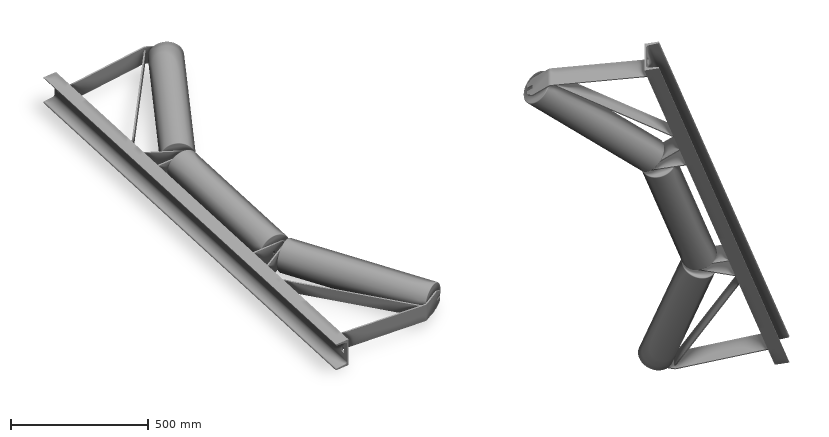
import cadquery as cq
import math

CHANNEL_LENGTH = 1900.0
CHANNEL_HEIGHT = 120.0
CHANNEL_DEPTH = 55.0
WEB_THICKNESS = 7.0
FLANGE_THICKNESS = 9.0
FLANGE_SLOPE = 0.08
ROOT_RADIUS = 9.0
TOE_RADIUS = 4.5
MOUNT_HOLE_WIDTH = 18.0
MOUNT_HOLE_HEIGHT = 26.0
MOUNT_HOLE_FROM_END = 27.0

ROLLER_RADIUS = 133.0 / 2
ROLLER_LENGTH = 600.0
ROLLER_EDGE_RADIUS = 3.0
TROUGH_ANGLE = 30.0
OVERALL_DEPTH = 539.8
CENTRE_AXIS_Y = 171.0
SIDE_AXIS_END_X = -867.0
SHAFT_FLAT = 16.0
SHAFT_DEPTH = 14.0

SHEET = 6.0
END_GAP = 7.0
STRIP_WIDTH = 75.0
BRACE_WIDTH = 50.0
HEAD_TOP = 35.0
HEAD_TOP_WIDTH = 46.0
SHOULDER = 7.0
BEND_BELOW_AXIS = 79.0
OUTER_BEND_RADIUS = 18.0
INNER_BEND_RADIUS = 12.5
OUTER_FOOT_X = -883.0
BRACE_FOOT_X = -460.0
SHAFT_OVERHANG = END_GAP + SHEET

COS_T = math.cos(math.radians(TROUGH_ANGLE))
SIN_T = math.sin(math.radians(TROUGH_ANGLE))
SIDE_AXIS_END_Y = (OVERALL_DEPTH - ROLLER_EDGE_RADIUS * (1 - SIN_T)
                   - (ROLLER_RADIUS - ROLLER_EDGE_RADIUS) * COS_T)


def to_side(body):
    turned = body.rotate((0, 0, 0), (0, 0, 1), -TROUGH_ANGLE)
    return turned.translate((SIDE_AXIS_END_X, SIDE_AXIS_END_Y, 0))


def to_centre(body):
    return body.translate((-ROLLER_LENGTH / 2, CENTRE_AXIS_Y, 0))


def side_point(along, above):
    """World XY of a point given in the side roller's frame."""
    x = SIDE_AXIS_END_X + along * COS_T + above * SIN_T
    y = SIDE_AXIS_END_Y - along * SIN_T + above * COS_T
    return cq.Vector(x, y)


def left_normal(start, end):
    """Unit vector square to the line from start to end, on its left-hand side."""
    direction = (end - start).normalized()
    return cq.Vector(-direction.y, direction.x)


def prism(points, width):
    """Outline in XY, extruded equally to both sides of Z = 0."""
    outline = [(point.x, point.y) for point in points]
    return cq.Workplane("XY").polyline(outline).close().extrude(width / 2, both=True)


def bent_strip(start, corner, end, bend_radius):
    """Strip with one rounded bend; the points lie on its outer face, the metal to the left."""
    first = left_normal(start, corner)
    second = left_normal(corner, end)
    inner_corner = corner + (first + second) * (SHEET / (1 + first.dot(second)))
    strip = prism(
        [start, corner, end, end + second * SHEET, inner_corner, start + first * SHEET],
        STRIP_WIDTH)
    strip = strip.edges(cq.NearestToPointSelector(corner.toTuple())).fillet(bend_radius)
    inner_edge = strip.edges("|Z").edges(cq.NearestToPointSelector(inner_corner.toTuple()))
    return inner_edge.fillet(bend_radius - SHEET)


def extended_foot(upper, foot):
    """Point past the foot on the same line, inside the channel, so the strip can be trimmed."""
    return foot + (foot - upper).normalized() * CHANNEL_DEPTH / 2


def trim_to_channel(strip):
    """Cut off whatever lies in front of the back face of the channel."""
    waste = cq.Workplane("XY").box(
        CHANNEL_LENGTH, CHANNEL_DEPTH, CHANNEL_HEIGHT, centered=(True, False, True))
    return strip.cut(waste)


def shaft_slot(end_x):
    """Slot, open at the top, for the shaft end at end_x in a roller frame."""
    return (cq.Workplane("XY")
            .box(2 * ROLLER_RADIUS, 2 * ROLLER_RADIUS, SHAFT_FLAT, centered=(True, False, True))
            .translate((end_x, -SHAFT_DEPTH / 2, 0)))


def make_channel():
    half = CHANNEL_HEIGHT / 2
    web_y = CHANNEL_DEPTH - WEB_THICKNESS
    toe = FLANGE_THICKNESS - FLANGE_SLOPE * CHANNEL_DEPTH / 2
    root = toe + FLANGE_SLOPE * web_y
    section = [
        (CHANNEL_DEPTH, half), (CHANNEL_DEPTH, -half),
        (0, -half), (0, toe - half), (web_y, root - half),
        (web_y, half - root), (0, half - toe), (0, half),
    ]
    bar = cq.Workplane("YZ").polyline(section).close().extrude(CHANNEL_LENGTH / 2, both=True)
    for side in (1, -1):
        root_edge = cq.NearestToPointSelector((0, web_y, side * (half - root)))
        bar = bar.edges("|X").edges(root_edge).fillet(ROOT_RADIUS)
        toe_edge = cq.NearestToPointSelector((0, 0, side * (half - toe)))
        bar = bar.edges("|X").edges(toe_edge).fillet(TOE_RADIUS)
    hole_x = CHANNEL_LENGTH / 2 - MOUNT_HOLE_FROM_END
    holes = (cq.Workplane("XZ").pushPoints([(-hole_x, 0), (hole_x, 0)])
             .rect(MOUNT_HOLE_WIDTH, MOUNT_HOLE_HEIGHT).extrude(-CHANNEL_DEPTH))
    return bar.cut(holes)


def make_roller():
    """Roller in its own frame, with a flatted shaft end at both ends."""
    drum = (cq.Workplane("YZ").circle(ROLLER_RADIUS).extrude(ROLLER_LENGTH)
            .edges().fillet(ROLLER_EDGE_RADIUS))
    shaft = (cq.Workplane("YZ").workplane(offset=-SHAFT_OVERHANG)
             .rect(SHAFT_DEPTH, SHAFT_FLAT).extrude(ROLLER_LENGTH + 2 * SHAFT_OVERHANG))
    return drum.union(shaft)


def make_outer_bracket():
    """Outer bracket: slotted head square to the roller axis, leg down to the channel."""
    outer_face = -END_GAP - SHEET
    corner = side_point(outer_face, -BEND_BELOW_AXIS)
    foot = cq.Vector(OUTER_FOOT_X, CHANNEL_DEPTH)
    bracket = bent_strip(side_point(outer_face, HEAD_TOP), corner,
                         extended_foot(corner, foot), OUTER_BEND_RADIUS)
    for side in (1, -1):
        clipped_corner = [
            (SHOULDER, side * STRIP_WIDTH / 2),
            (HEAD_TOP, side * HEAD_TOP_WIDTH / 2),
            (HEAD_TOP, side * STRIP_WIDTH / 2),
        ]
        clip = (cq.Workplane("YZ").polyline(clipped_corner).close()
                .extrude(2 * SHAFT_OVERHANG, both=True))
        bracket = bracket.cut(to_side(clip))
    return trim_to_channel(bracket.cut(to_side(shaft_slot(0))))


def make_brace(bracket):
    """Straight strip from the inside of the outer bracket's bend to the channel."""
    top = side_point(-END_GAP - SHEET / 2, -BEND_BELOW_AXIS + SHEET / 2)
    foot = cq.Vector(BRACE_FOOT_X, CHANNEL_DEPTH)
    end = extended_foot(top, foot)
    offset = left_normal(top, end) * (SHEET / 2)
    strip = prism([top - offset, end - offset, end + offset, top + offset], BRACE_WIDTH)
    return trim_to_channel(strip.cut(bracket))


def make_inner_bracket():
    """Inner bracket: folded strip holding the centre roller and the side roller's lower end."""
    side_face = side_point(ROLLER_LENGTH + END_GAP, 0)
    centre_face_x = -ROLLER_LENGTH / 2 - END_GAP
    fold = cq.Vector(centre_face_x,
                     side_face.y + (centre_face_x - side_face.x) * COS_T / SIN_T)
    centre_foot = cq.Vector(centre_face_x, CHANNEL_DEPTH)
    side_foot = cq.Vector(fold.x - (fold.y - CHANNEL_DEPTH) * SIN_T / COS_T, CHANNEL_DEPTH)
    bracket = bent_strip(extended_foot(fold, centre_foot), fold,
                         extended_foot(fold, side_foot), INNER_BEND_RADIUS)
    bracket = bracket.cut(to_side(shaft_slot(ROLLER_LENGTH))).cut(to_centre(shaft_slot(0)))
    return trim_to_channel(bracket)


channel = make_channel()
centre_roller = to_centre(make_roller())
side_roller = to_side(make_roller())
outer_bracket = make_outer_bracket()
brace = make_brace(outer_bracket)
inner_bracket = make_inner_bracket()

bodies = [channel.val(), centre_roller.val()]
for left_body in (side_roller, outer_bracket, brace, inner_bracket):
    bodies += [left_body.val(), left_body.mirror("YZ").val()]

result = cq.Compound.makeCompound(bodies)